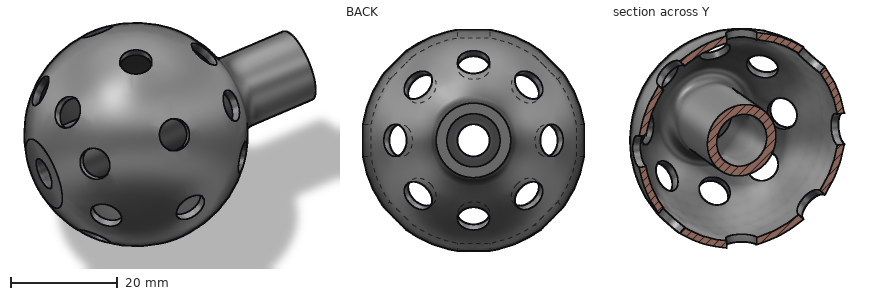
import cadquery as cq
import math

ball_diameter = 42.0
ball_radius = ball_diameter / 2
cavity_radius = 19.5

overall_length = 54.6
tube_diameter = 14.0
tube_radius = tube_diameter / 2
bore_diameter = 10.0
end_wall = 2.3
outer_fillet = 3.0
inner_fillet = 2.0
flat_y = -math.sqrt(ball_radius**2 - tube_radius**2)
stem_end_y = flat_y + overall_length

hole_diameter = 6.0
holes_per_ring = 8
ring_latitudes = (-45, 0, 45)
hole_start = (tube_radius + cavity_radius) / 2


def cylinder(start, direction, diameter, length):
    """Cylinder of the given length, running from start along direction."""
    return cq.Solid.makeCylinder(diameter / 2, length, cq.Vector(*start), cq.Vector(*direction))


def revolve_about_y(profile):
    return profile.close().revolve(360, (0, 0, 0), (0, 1, 0))


def make_ball_and_stem():
    """Ball with a flat on -Y and a stem on +Y, blended by a tangent fillet."""
    centre_x = tube_radius + outer_fillet
    centre_distance = ball_radius + outer_fillet
    centre_y = math.sqrt(centre_distance**2 - centre_x**2)
    on_ball = (centre_x * ball_radius / centre_distance, centre_y * ball_radius / centre_distance)
    profile = (
        cq.Workplane("XY")
        .moveTo(0, flat_y)
        .lineTo(tube_radius, flat_y)
        .threePointArc((ball_radius, 0), on_ball)
        .radiusArc((tube_radius, centre_y), outer_fillet)
        .lineTo(tube_radius, stem_end_y)
        .lineTo(0, stem_end_y)
    )
    return revolve_about_y(profile)


def make_cavity():
    """Ring-shaped space between the tube and the shell, filleted at both ends."""
    centre_x = tube_radius + inner_fillet
    centre_distance = cavity_radius - inner_fillet
    centre_y = math.sqrt(centre_distance**2 - centre_x**2)
    shell_x = centre_x * cavity_radius / centre_distance
    shell_y = centre_y * cavity_radius / centre_distance
    profile = (
        cq.Workplane("XY")
        .moveTo(tube_radius, -centre_y)
        .radiusArc((shell_x, -shell_y), -inner_fillet)
        .threePointArc((cavity_radius, 0), (shell_x, shell_y))
        .radiusArc((tube_radius, centre_y), -inner_fillet)
    )
    return revolve_about_y(profile)


def cut_shell_holes(body):
    """Cut the rings of radial holes through the shell, leaving the tube whole."""
    for latitude in ring_latitudes:
        for index in range(holes_per_ring):
            lat = math.radians(latitude)
            turn = 2 * math.pi * index / holes_per_ring
            direction = (
                math.cos(lat) * math.cos(turn),
                math.sin(lat),
                math.cos(lat) * math.sin(turn),
            )
            start = tuple(hole_start * component for component in direction)
            body = body.cut(cq.Workplane(cylinder(start, direction, hole_diameter, ball_radius)))
    return body


def cut_tube_bore(body):
    """Bore the tube from the stem end, and pierce the remaining end wall."""
    bore_length = overall_length - end_wall
    bore = cylinder((0, stem_end_y, 0), (0, -1, 0), bore_diameter, bore_length)
    end_hole = cylinder((0, flat_y, 0), (0, 1, 0), hole_diameter, overall_length)
    return body.cut(cq.Workplane(bore)).cut(cq.Workplane(end_hole))


body = make_ball_and_stem().cut(make_cavity())
body = cut_shell_holes(body)
result = cut_tube_bore(body)